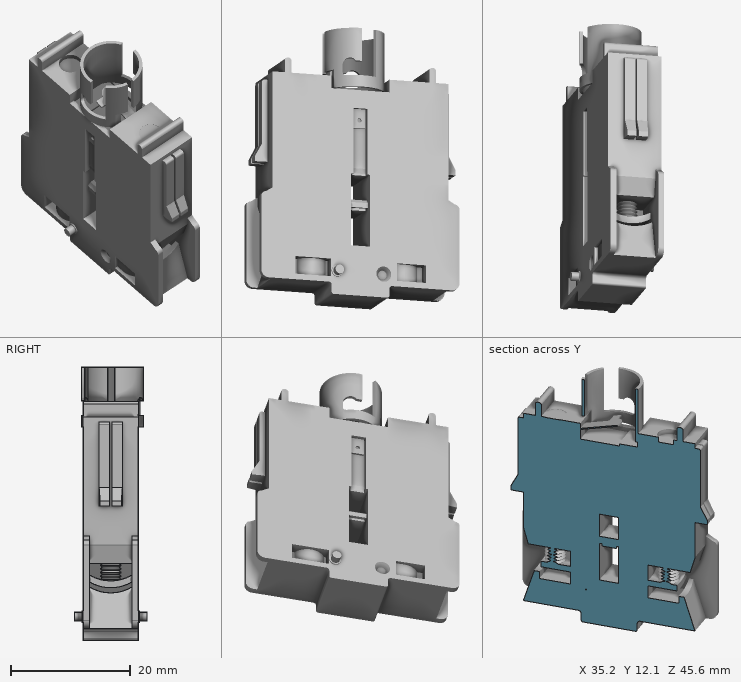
import cadquery as cq
import math

OVERLAP = 1.0

BODY_DEPTH = 9.2
BODY_HALF_WIDTH = 15.4
BODY_TOP = 37.3
FRONT_Y = -BODY_DEPTH / 2
FLANK_HALF_WIDTH = 17.36
FLANK_BOTTOM = 2.04
FLANK_STRAIGHT_TOP = 15.95
FLANK_SHOULDER = (16.6, 16.75)
FLANK_SHOULDER_MID = (17.13, 16.5)
FLANK_SLOPE_TOP = 17.45
FLANK_CORNER_RADIUS = 1.3
FOOT_HALF_WIDTH = 5.05
FOOT_RADIUS = 0.35
FOOT_ROOT_RADIUS = 0.5
CHEEK_THICKNESS = 1.02
CHAMBER_HALF_DEPTH = BODY_DEPTH / 2 - CHEEK_THICKNESS

NOTCH_HALF_WIDTH = 5.05
NOTCH_FLOOR = 35.15
RECESS_HALF_DEPTH = 3.7
RECESS_DEPTH = 0.4
RECESS_STEP_X = -1.78

RIB_X = 12.66
RIB_WIDTH = 1.19
RIB_TOP = 39.86
RIB_CREST_RISE = 0.45
SCREW_X = 10.15
ACCESS_HOLE_DIAMETER = 3.86
ACCESS_HOLE_DEPTHS = {-1: 0.9, 1: 0.05}

CLIP_TOP = 36.43
CLIP_BOTTOM = 22.4
CLIP_FACE_X = 16.37
CLIP_NOSE_X = 17.6
CLIP_NOSE_TOP = 23.26
CLIP_SLOPE_TOP = 25.5
CLIP_RADIUS = 0.4
CLIP_INNER_Y = 0.2
CLIP_OUTER_Y = 1.93
CLIP_NOSE_OUTER_Y = 1.76

CHAMBER_LIP_X = 14.5
CHAMBER_LIP_TOP = 15.9
CHAMBER_TOP = 12.85
CHAMBER_INNER_X = 7.0
RAMP_TOP_X = 13.05
RAMP_TOP = 9.24
RAMP_BACK_X = 12.4
WELL_FLOOR = 6.8
SCOOP_RADIUS = 6.9
SCOOP_LOW = 7.95
SCREW_DIAMETER = 3.5
SCREW_CORE_DIAMETER = 2.85
SCREW_TIP = 9.8
THREAD_PITCH = 0.6
SADDLE_LOW = 8.8
SADDLE_HIGH = 10.84
SADDLE_THICKNESS = 1.15
SADDLE_OUTER_X = 12.2

SLOT_HALF_WIDTH = 1.645
SLOT_BOTTOM = 8.53
SLOT_TOP = 20.8
BAR_HALF_DEPTH = 3.55
BAR_TOP = 16.74
BAR_BEVEL = 0.56
BAR_BOTTOM = 15.33
BAR_PAD_HALF_WIDTH = 1.36
BAR_PAD_HALF_DEPTH = 3.0
BAR_PAD_BOTTOM = 14.9
STRIP_HALF_WIDTH = 1.22
STRIP_TOP = 32.04
STRIP_STEP_Z = 28.78
STRIP_BEND_TOP = 21.98
STRIP_BEND_BOTTOM = 21.13
STRIP_DEPTH = 0.95
STRIP_BEND_DEPTH = 1.1
TIP_DEPTH = 0.6
TIP_HALF_WIDTH = 1.04
DIMPLE_DIAMETER = 0.7
DIMPLE_Z = 30.1
DIMPLE_DEPTH = 0.3

POCKET_BOTTOM = 3.0
POCKET_TOP = 6.0
LEFT_POCKET_X = (-11.42, -5.13)
RIGHT_POCKET_X = (6.4, 11.44)
BARREL_INSET = 0.55
BARREL_X = 8.0
BARREL_RADIUS = 3.0
POCKET_DEPTH = 1.95
PIN_X = 4.08
PIN_Z = 3.99
PIN_DIAMETER = 1.5
PIN_REACH = 6.05
COLLAR_DIAMETER = 1.95
COLLAR_HEIGHT = 0.2
SOCKET_MOUTH_DIAMETER = 2.6
SOCKET_DEPTH = 0.8

TUBE_X = -0.15
TUBE_Y = 0.3
TUBE_RADIUS = 5.2
TUBE_WALL = 0.55
TUBE_BOTTOM = 35.58
TUBE_TOP = 45.6
GAP_ANGLES = (-82, -52)
REPEAT_ANGLE = 170
NARROW_GAP_ANGLES = (-9, 4.5)
WINDOW_BOTTOM = 37.53
WINDOW_TOP = 40.5
WINDOW_SHOULDER = 39.97
WINDOW_LEFT_X = -2.6
WINDOW_CORNER_RADIUS = 0.6
WINDOW_ARCH_START_Z = 39.4
WINDOW_ARCH_PEAK_X = -1.5
WINDOW_ARCH_END_X = -0.45
WINDOW_INNER_X = 0.9
TUBE_CUTOUT_X = 4.2
TUBE_CUTOUT_TOP = 38.7

LEVER_TILT = math.radians(15.4)
LEVER_THICKNESS = 0.3
LEVER_EMBED = 0.3
LEVER_ARM_Y = (-0.55, 1.42)
LEVER_END_Z = 36.3
LEVER_HUB_X = -0.3
LEVER_HUB_Y = 0.43
LEVER_HUB_RADIUS = 1.58
LEVER_TAB_X = (-0.67, 0.67)
LEVER_TAB_Y = (-2.55, 2.0)


def block(x_range, y_range, z_range):
    """Axis-aligned block given by its limits."""
    size = [high - low for low, high in (x_range, y_range, z_range)]
    corner = (x_range[0], y_range[0], z_range[0])
    return cq.Workplane("XY").box(*size, centered=False).translate(corner)


def front_prism(outline, y_range):
    """Extrude a wire drawn in the XZ plane between two Y positions."""
    return outline.extrude(y_range[0] - y_range[1]).translate((0, y_range[0], 0))


def turn(shape, angle=180, centre=(0, 0)):
    """Rotate a shape about a vertical axis."""
    x, y = centre
    return shape.rotate((x, y, 0), (x, y, 1), angle)


def on_both_faces(shape):
    """The shape together with its copy turned half way round the Z axis."""
    return shape.union(turn(shape))


def symmetric_range(half):
    return (-half, half)


def housing():
    full_depth = symmetric_range(BODY_DEPTH / 2)
    core = block(symmetric_range(BODY_HALF_WIDTH), full_depth, (FLANK_BOTTOM, BODY_TOP))
    foot = block(symmetric_range(FOOT_HALF_WIDTH), full_depth, (0, FLANK_BOTTOM + OVERLAP))
    foot = foot.faces("<Z").edges("|Y").fillet(FOOT_RADIUS)
    body = core.union(foot)

    half_x, low_z, radius = FLANK_HALF_WIDTH, FLANK_BOTTOM, FLANK_CORNER_RADIUS
    bulge = radius * (1 - math.sqrt(0.5))
    right_half = (
        cq.Workplane("XZ")
        .moveTo(0, low_z)
        .lineTo(half_x - radius, low_z)
        .threePointArc((half_x - bulge, low_z + bulge), (half_x, low_z + radius))
        .lineTo(half_x, FLANK_STRAIGHT_TOP)
        .threePointArc(FLANK_SHOULDER_MID, FLANK_SHOULDER)
        .lineTo(BODY_HALF_WIDTH, FLANK_SLOPE_TOP)
        .lineTo(0, FLANK_SLOPE_TOP)
        .close()
    )
    half_cheek = front_prism(right_half, (FRONT_Y, FRONT_Y + CHEEK_THICKNESS))
    cheek = half_cheek.union(half_cheek.mirror("YZ"))
    body = body.union(on_both_faces(cheek))

    notch = block(symmetric_range(NOTCH_HALF_WIDTH), full_depth, (NOTCH_FLOOR, BODY_TOP))
    recess_y = symmetric_range(RECESS_HALF_DEPTH)
    recess_bottom = NOTCH_FLOOR - RECESS_DEPTH
    recess = block(symmetric_range(NOTCH_HALF_WIDTH), recess_y, (recess_bottom, NOTCH_FLOOR))
    deep_x = (RECESS_STEP_X, NOTCH_HALF_WIDTH)
    deep_recess = block(deep_x, recess_y, (recess_bottom - RECESS_DEPTH, NOTCH_FLOOR))
    body = body.cut(notch).cut(recess).cut(deep_recess)
    for side in (-1, 1):
        foot_root = cq.selectors.NearestToPointSelector((side * FOOT_HALF_WIDTH, 0, FLANK_BOTTOM))
        body = body.edges(foot_root).fillet(FOOT_ROOT_RADIUS)
    return body


def access_hole(side):
    depth = ACCESS_HOLE_DEPTHS[side]
    hole = cq.Workplane("XY").circle(ACCESS_HOLE_DIAMETER / 2).extrude(depth)
    return hole.translate((side * SCREW_X, 0, BODY_TOP - depth))


def rib():
    """Upright rib across the top of the +X side, with a rounded crest."""
    inner_x, outer_x = RIB_X - RIB_WIDTH / 2, RIB_X + RIB_WIDTH / 2
    crest_foot = RIB_TOP - RIB_CREST_RISE
    profile = (
        cq.Workplane("XZ")
        .moveTo(inner_x, BODY_TOP - OVERLAP)
        .lineTo(outer_x, BODY_TOP - OVERLAP)
        .lineTo(outer_x, crest_foot)
        .threePointArc((RIB_X, RIB_TOP), (inner_x, crest_foot))
        .close()
    )
    return front_prism(profile, symmetric_range(BODY_DEPTH / 2))


def clip():
    """One of the two side-by-side clips on the +X end."""
    bar_x = (BODY_HALF_WIDTH, CLIP_FACE_X)
    bar = block(bar_x, (CLIP_INNER_Y, CLIP_OUTER_Y), (CLIP_BOTTOM, CLIP_TOP))
    bar = bar.edges(">X and >Z").fillet(CLIP_RADIUS)
    nose = (
        cq.Workplane("XZ")
        .moveTo(CLIP_FACE_X, CLIP_BOTTOM)
        .lineTo(CLIP_NOSE_X, CLIP_BOTTOM)
        .lineTo(CLIP_NOSE_X, CLIP_NOSE_TOP)
        .lineTo(CLIP_FACE_X, CLIP_SLOPE_TOP)
        .close()
    )
    taper = (
        cq.Workplane("XY")
        .moveTo(CLIP_FACE_X, CLIP_INNER_Y)
        .lineTo(CLIP_NOSE_X, CLIP_INNER_Y)
        .lineTo(CLIP_NOSE_X, CLIP_NOSE_OUTER_Y)
        .lineTo(CLIP_FACE_X, CLIP_OUTER_Y)
        .close()
        .extrude(CLIP_TOP)
    )
    return bar.union(front_prism(nose, (CLIP_INNER_Y, CLIP_OUTER_Y)).intersect(taper))


def cylinder_along_x(radius, lowest_z, x_range):
    """Horizontal cylinder whose lowest line lies at the given height."""
    disc = cq.Workplane("YZ").center(0, lowest_z + radius).circle(radius)
    return disc.extrude(x_range[1] - x_range[0]).translate((x_range[0], 0, 0))


def terminal_cavity():
    """Open space of the terminal chamber on the +X end, with the ramp and its scooped lip left standing."""
    chamber_y = symmetric_range(CHAMBER_HALF_DEPTH)
    mouth = (
        cq.Workplane("XZ")
        .moveTo(BODY_HALF_WIDTH, FLANK_BOTTOM)
        .lineTo(BODY_HALF_WIDTH, CHAMBER_LIP_TOP)
        .lineTo(CHAMBER_LIP_X, CHAMBER_TOP)
        .lineTo(RAMP_TOP_X, CHAMBER_TOP)
        .lineTo(RAMP_TOP_X, RAMP_TOP)
        .close()
    )
    cavity_x = (CHAMBER_INNER_X, BODY_HALF_WIDTH)
    trough = cylinder_along_x(SCOOP_RADIUS, SCOOP_LOW, cavity_x)
    trough = trough.intersect(block(cavity_x, chamber_y, (SCOOP_LOW, CHAMBER_TOP)))
    well = block((CHAMBER_INNER_X, RAMP_BACK_X), chamber_y, (WELL_FLOOR, CHAMBER_TOP))
    return front_prism(mouth, chamber_y).union(trough).union(well)


def terminal_screw():
    """Threaded screw hanging from the roof of the chamber, with ring-shaped threads."""
    outer, core = SCREW_DIAMETER / 2, SCREW_CORE_DIAMETER / 2
    turns = int((CHAMBER_TOP - SCREW_TIP) / THREAD_PITCH)
    profile = cq.Workplane("XZ").moveTo(0, CHAMBER_TOP + OVERLAP)
    profile = profile.lineTo(core, CHAMBER_TOP + OVERLAP).lineTo(core, CHAMBER_TOP)
    for index in range(turns):
        root_z = CHAMBER_TOP - (index + 1) * THREAD_PITCH
        profile = profile.lineTo(outer, root_z + THREAD_PITCH / 2).lineTo(core, root_z)
    profile = profile.lineTo(core, SCREW_TIP).lineTo(0, SCREW_TIP).close()
    return profile.revolve(360, (0, 0, 0), (0, 1, 0)).translate((SCREW_X, 0, 0))


def terminal_saddle():
    """Curved clamping plate under the screw, reaching into the chamber's back wall."""
    saddle_x = (CHAMBER_INNER_X - OVERLAP, SADDLE_OUTER_X)
    plate = cylinder_along_x(SCOOP_RADIUS, SADDLE_LOW, saddle_x)
    hollow = cylinder_along_x(SCOOP_RADIUS, SADDLE_LOW + SADDLE_THICKNESS, saddle_x)
    limits = block(saddle_x, symmetric_range(CHAMBER_HALF_DEPTH), (SADDLE_LOW, SADDLE_HIGH))
    return plate.cut(hollow).intersect(limits)


def window_slot():
    slot_x = symmetric_range(SLOT_HALF_WIDTH)
    slot = block(slot_x, symmetric_range(BODY_DEPTH / 2), (SLOT_BOTTOM, SLOT_TOP))
    bar_y = symmetric_range(BAR_HALF_DEPTH)
    bar = block(slot_x, bar_y, (BAR_BOTTOM, BAR_TOP))
    bar = bar.faces(">Z").edges("|X").chamfer(BAR_BEVEL)
    pad_x = symmetric_range(BAR_PAD_HALF_WIDTH)
    pad = block(pad_x, symmetric_range(BAR_PAD_HALF_DEPTH), (BAR_PAD_BOTTOM, BAR_BOTTOM))
    return slot.cut(bar).cut(pad)


def contact_groove():
    """Groove above the slot: its floor is the contact strip, with a raised narrower tip."""
    strip_y = FRONT_Y + STRIP_DEPTH
    bend_y = FRONT_Y + STRIP_BEND_DEPTH
    tip_y = FRONT_Y + TIP_DEPTH
    profile = (
        cq.Workplane("YZ")
        .moveTo(FRONT_Y, STRIP_TOP)
        .lineTo(strip_y, STRIP_TOP)
        .lineTo(strip_y, STRIP_BEND_TOP)
        .lineTo(bend_y, STRIP_BEND_BOTTOM)
        .lineTo(bend_y, SLOT_TOP)
        .lineTo(FRONT_Y, SLOT_TOP)
        .close()
    )
    groove = profile.extrude(STRIP_HALF_WIDTH, both=True)
    tip_x = symmetric_range(TIP_HALF_WIDTH)
    tip = block(tip_x, (tip_y, strip_y), (STRIP_STEP_Z, STRIP_TOP))
    dimple = cq.Workplane("XZ").center(0, DIMPLE_Z).circle(DIMPLE_DIAMETER / 2)
    return groove.cut(tip).union(front_prism(dimple, (tip_y, tip_y + DIMPLE_DEPTH)))


def side_pockets():
    """Two pockets low on the front face, each showing a rounded barrel inside."""
    pocket_y = (FRONT_Y, FRONT_Y + POCKET_DEPTH)
    pocket_z = (POCKET_BOTTOM, POCKET_TOP)
    height = POCKET_TOP - POCKET_BOTTOM
    barrel = cq.Workplane("XY").circle(BARREL_RADIUS).extrude(height)
    barrel_y = FRONT_Y + BARREL_INSET + BARREL_RADIUS
    left_barrel = barrel.translate((-BARREL_X, barrel_y, POCKET_BOTTOM))
    right_barrel = barrel.translate((BARREL_X, barrel_y, POCKET_BOTTOM))
    flat_x = (RIGHT_POCKET_X[0], BARREL_X)
    flat = block(flat_x, (barrel_y - BARREL_RADIUS, barrel_y), pocket_z)
    left = block(LEFT_POCKET_X, pocket_y, pocket_z).cut(left_barrel)
    right = block(RIGHT_POCKET_X, pocket_y, pocket_z).cut(right_barrel).cut(flat)
    return left.union(right)


def coupling_pin():
    axis = cq.Workplane("XZ").center(-PIN_X, PIN_Z)
    pin = front_prism(axis.circle(PIN_DIAMETER / 2), (-PIN_REACH, FRONT_Y + OVERLAP))
    collar = front_prism(axis.circle(COLLAR_DIAMETER / 2), (FRONT_Y - COLLAR_HEIGHT, FRONT_Y + OVERLAP))
    return pin.union(collar)


def coupling_socket():
    cone = cq.Solid.makeCone(
        SOCKET_MOUTH_DIAMETER / 2, PIN_DIAMETER / 2, SOCKET_DEPTH,
        cq.Vector(PIN_X, FRONT_Y, PIN_Z), cq.Vector(0, 1, 0),
    )
    return cq.Workplane(obj=cone)


def tube_sector(angles, z_range):
    """Triangular wedge from the tube axis outward between two angles in degrees."""
    reach = 2 * TUBE_RADIUS
    tips = [(reach * math.cos(math.radians(a)), reach * math.sin(math.radians(a))) for a in angles]
    wedge = cq.Workplane("XY").polyline([(0, 0)] + tips).close().extrude(z_range[1] - z_range[0])
    return wedge.translate((TUBE_X, TUBE_Y, z_range[0]))


def tube_window():
    """Rounded window in the front wall, joined to a gap that runs up to the rim."""
    left, low, radius = WINDOW_LEFT_X, WINDOW_BOTTOM, WINDOW_CORNER_RADIUS
    bulge = radius * (1 - math.sqrt(0.5))
    arch_peak = (WINDOW_ARCH_PEAK_X, WINDOW_TOP)
    lobe = (
        cq.Workplane("XZ")
        .moveTo(WINDOW_INNER_X, low)
        .lineTo(left + radius, low)
        .threePointArc((left + bulge, low + bulge), (left, low + radius))
        .lineTo(left, WINDOW_ARCH_START_Z)
        .threePointArc(arch_peak, (WINDOW_ARCH_END_X, WINDOW_SHOULDER))
        .lineTo(WINDOW_INNER_X, WINDOW_SHOULDER)
        .close()
    )
    lobe = front_prism(lobe, (TUBE_Y - 2 * TUBE_RADIUS, TUBE_Y))
    return lobe.union(tube_sector(GAP_ANGLES, (WINDOW_BOTTOM, TUBE_TOP)))


def slotted_tube():
    height = TUBE_TOP - TUBE_BOTTOM
    tube = cq.Workplane("XY").circle(TUBE_RADIUS).circle(TUBE_RADIUS - TUBE_WALL).extrude(height)
    tube = tube.translate((TUBE_X, TUBE_Y, TUBE_BOTTOM))
    window = tube_window()
    tube = tube.cut(window).cut(turn(window, REPEAT_ANGLE, (TUBE_X, TUBE_Y)))
    tube = tube.cut(tube_sector(NARROW_GAP_ANGLES, (TUBE_CUTOUT_TOP, TUBE_TOP)))
    cutout_x = (TUBE_CUTOUT_X, TUBE_CUTOUT_X + TUBE_RADIUS)
    cutout_y = symmetric_range(2 * TUBE_RADIUS)
    return tube.cut(block(cutout_x, cutout_y, (TUBE_BOTTOM, TUBE_CUTOUT_TOP)))


def key_lever():
    """Key-shaped plate sloping down from its hub to the notch's +X wall."""
    z_range = (NOTCH_FLOOR, TUBE_TOP)
    height = z_range[1] - z_range[0]
    hub = cq.Workplane("XY").circle(LEVER_HUB_RADIUS).extrude(height)
    plan = hub.translate((LEVER_HUB_X, LEVER_HUB_Y, NOTCH_FLOOR))
    arm_x = (LEVER_HUB_X, NOTCH_HALF_WIDTH + LEVER_EMBED)
    plan = plan.union(block(arm_x, LEVER_ARM_Y, z_range))
    plan = plan.union(block(LEVER_TAB_X, LEVER_TAB_Y, z_range))
    end_x = arm_x[1]
    start_x = LEVER_HUB_X - 2 * LEVER_HUB_RADIUS
    start_z = LEVER_END_Z + (end_x - start_x) * math.tan(LEVER_TILT)
    sheet = (
        cq.Workplane("XZ")
        .moveTo(end_x, LEVER_END_Z)
        .lineTo(start_x, start_z)
        .lineTo(start_x, start_z - LEVER_THICKNESS)
        .lineTo(end_x, LEVER_END_Z - LEVER_THICKNESS)
        .close()
    )
    return plan.intersect(front_prism(sheet, symmetric_range(TUBE_RADIUS)))


def with_terminal_ends(body):
    """Cut the chamber into both ends, then fit its screw, saddle, clips and rib."""
    body = body.cut(on_both_faces(terminal_cavity()))
    pair = clip().union(clip().mirror("XZ"))
    for fitting in (terminal_screw(), terminal_saddle(), pair, rib()):
        body = body.union(on_both_faces(fitting))
    return body


result = with_terminal_ends(housing())
for hole_side in ACCESS_HOLE_DEPTHS:
    result = result.cut(access_hole(hole_side))
result = result.cut(window_slot())
for face_cut in (contact_groove(), side_pockets(), coupling_socket()):
    result = result.cut(on_both_faces(face_cut))
result = result.union(on_both_faces(coupling_pin()))
result = result.union(slotted_tube()).union(key_lever())